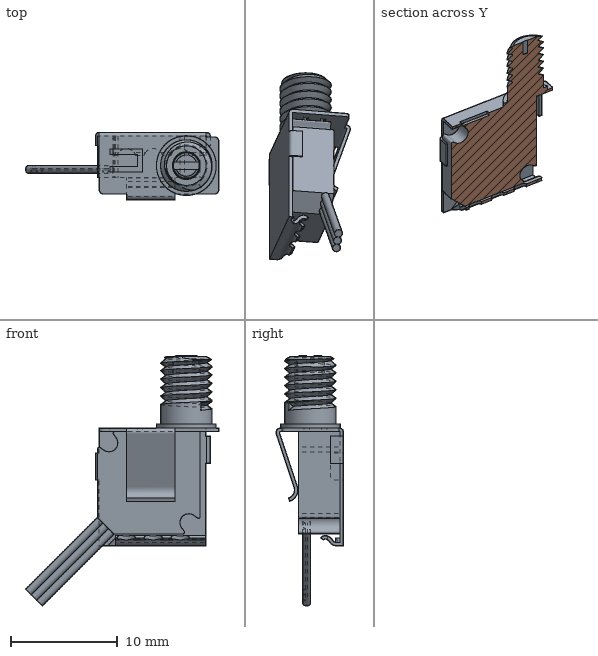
import cadquery as cq
import math


sheet = 0.33
top_bend_radius = 0.36
tab_bend_radius = 0.30
bracket_left = -8.17
back_right = 1.84
plate_right = 3.05
back_y = 3.10
back_inner_y = back_y - sheet
plate_front = -2.68
plate_back = 2.70
plate_corner_radius = 0.45
back_bottom = -11.02

slot_left = -7.16
slot_right = -4.10
slot_back = 1.54
slot_front = -0.58
slot_width = 0.48

tab_front = 1.88
tab_height = 2.55
left_tab_top = -2.32
left_tab_outer = -8.50
right_tab_top = -0.76
right_tab_outer = 2.24

clip_left = -5.60
clip_right = -1.05
clip_front = -3.22
clip_bend_radius = 0.26
clip_lean = math.radians(18.4)
clip_leg_end_z = -5.50
clip_tip = (-2.00, -6.70)

spring_left = -6.62
spring_flat_y = 2.42
spring_wave_middle = (1.96, -10.60)
spring_crest = (1.53, -10.25)
spring_tip = (1.10, -10.38)
spring_shoulder = 0.75
spring_shoulder_front = 2.35
spring_notch_radius = 0.90
spring_notch_y = 0.70
spring_notch_pitch = 2.52
spring_notch_count = 3
spring_first_notch_x = -5.62

body_left = -8.31
body_right = 1.29
body_top = -sheet
body_bottom = -9.91
body_front = -1.13
body_chamfer = 1.52
notch_offset = 1.06
notch_radius = 0.83
notch_half_angle = 98
notch_lip_radius = 0.16

stud_radius = 2.413
stud_top = 6.71
pitch = 25.4 / 32
thread_depth = 0.48
thread_crest = pitch / 8
groove_start_angle = -56
groove_start_z = 2.03
top_chamfer_radial = 0.56
top_chamfer_axial = 0.30
washer_radius = 2.80
washer_height = 0.40

bore_radius = 1.30
bore_depth = 1.50
screw_radius = 1.20
screw_top = 6.79
screw_chamfer = 0.20
screw_slot_width = 0.71
screw_slot_depth = 0.60

wire_radius = 0.375
wire_pitch = 0.735
wire_count = 3
wire_length = 9.50
wire_y = -0.36
wire_embed = 0.50


def block(x0, x1, y0, y1, z0, z1):
    """Box between opposite corner coordinates."""
    return cq.Workplane("XY").box(x1 - x0, y1 - y0, z1 - z0, centered=False).translate((x0, y0, z0))


def bent_strip(path, x0, x1):
    """Sheet strip from x0 to x1 whose mid-line is a YZ path starting along Y."""
    path = path.wire()
    start = path.val().startPoint()
    section = cq.Workplane("XZ", origin=((x0 + x1) / 2, start.y, start.z)).rect(x1 - x0, sheet)
    return section.sweep(path)


def make_top_plate():
    plate = block(bracket_left, plate_right, plate_front, plate_back, -sheet, 0)
    corners = plate.edges("|Z and (>X or (<X and <Y))")
    plate = corners.fillet(plate_corner_radius)
    slot = block(slot_left, slot_right, slot_front, slot_back, -sheet, 0)
    tongue = block(
        slot_left, slot_right - slot_width, slot_front + slot_width, slot_back - slot_width, -sheet, 0
    )
    return plate.cut(slot.cut(tongue))


def make_back_plate():
    back = block(bracket_left, back_right, back_inner_y, back_y, back_bottom, 0)
    flange = block(bracket_left, back_right, plate_back, back_y, -sheet, 0)
    return back.union(flange).edges("|X and >Y and >Z").fillet(top_bend_radius)


def make_tab(edge_x, outer_x, top):
    """Tab wrapped forward from the side edge of the back plate."""
    x0, x1 = sorted((edge_x, outer_x))
    side = "<X" if outer_x < edge_x else ">X"
    inner_x = outer_x + math.copysign(sheet, edge_x - outer_x)
    tab = block(min(inner_x, outer_x), max(inner_x, outer_x), tab_front, back_y, top - tab_height, top)
    bridge = block(x0, x1, back_inner_y, back_y, top - tab_height, top)
    return tab.union(bridge).edges("|Z and >Y and " + side).fillet(tab_bend_radius)


def make_clip():
    bend_start_y = clip_front + sheet / 2 + clip_bend_radius
    bend_end_y = bend_start_y - clip_bend_radius * math.cos(clip_lean)
    bend_end_z = -sheet / 2 - clip_bend_radius * (1 + math.sin(clip_lean))
    leg_end_y = bend_end_y + (bend_end_z - clip_leg_end_z) * math.tan(clip_lean)
    path = (
        cq.Workplane("YZ")
        .moveTo(plate_front + sheet, -sheet / 2)
        .lineTo(bend_start_y, -sheet / 2)
        .tangentArcPoint((bend_end_y, bend_end_z), relative=False)
        .lineTo(leg_end_y, clip_leg_end_z)
        .tangentArcPoint(clip_tip, relative=False)
    )
    return bent_strip(path, clip_left, clip_right)


def make_bottom_spring():
    mid_z = back_bottom + sheet / 2
    path = (
        cq.Workplane("YZ")
        .moveTo(back_y, mid_z)
        .lineTo(spring_flat_y, mid_z)
        .tangentArcPoint(spring_wave_middle, relative=False)
        .tangentArcPoint(spring_crest, relative=False)
        .tangentArcPoint(spring_tip, relative=False)
    )
    spring = bent_strip(path, spring_left, back_right)
    for index in range(spring_notch_count):
        notch_x = spring_first_notch_x + index * spring_notch_pitch
        notch = cq.Workplane("XY", origin=(notch_x, spring_notch_y, back_bottom)).circle(spring_notch_radius)
        spring = spring.cut(notch.extrude(body_bottom - back_bottom))
    return spring.union(make_spring_shoulder())


def make_spring_shoulder():
    """Three-cornered gusset where the left end of the spring runs into the back plate."""
    outer_x = spring_left - spring_shoulder
    side = (
        cq.Workplane("XZ", origin=(0, back_inner_y, 0))
        .moveTo(outer_x, back_bottom)
        .lineTo(spring_left, back_bottom)
        .lineTo(spring_left, back_bottom + spring_shoulder)
        .close()
        .extrude(back_inner_y - spring_shoulder_front)
    )
    plan = (
        cq.Workplane("XY", origin=(0, 0, back_bottom))
        .moveTo(outer_x, back_inner_y)
        .lineTo(spring_left, spring_shoulder_front)
        .lineTo(spring_left, back_inner_y)
        .close()
        .extrude(spring_shoulder)
    )
    return side.intersect(plan)


def make_notch(corner_x, corner_z, outward_angle):
    """Keyhole notch: a round pocket opening out to a corner of the body."""
    out = math.radians(outward_angle)
    center_x = corner_x - math.copysign(notch_offset, math.cos(out))
    center_z = corner_z - math.copysign(notch_offset, math.sin(out))
    mouth = 2 * notch_offset
    points = []
    for turn in (1, -1):
        angle = out + turn * math.radians(notch_half_angle)
        tangent_x = center_x + notch_radius * math.cos(angle)
        tangent_z = center_z + notch_radius * math.sin(angle)
        side_x = tangent_x + mouth * turn * math.sin(angle)
        side_z = tangent_z - mouth * turn * math.cos(angle)
        pair = [(tangent_x, tangent_z), (side_x, side_z)]
        points += pair if turn == 1 else pair[::-1]
    far_corner = (center_x + mouth * 2 * math.cos(out), center_z + mouth * 2 * math.sin(out))
    points.insert(2, far_corner)
    plane = cq.Workplane("XZ", origin=(0, back_inner_y, 0))
    depth = back_inner_y - body_front
    opening = plane.polyline(points).close().extrude(depth)
    pocket = plane.center(center_x, center_z).circle(notch_radius).extrude(depth)
    return pocket.union(opening)


def notch_lips(corner_x, corner_z):
    """Selector for the two sharp lips that a notch leaves next to a body corner."""
    reach = 2 * notch_offset
    low = (corner_x - reach, body_front - 1, corner_z - reach)
    high = (corner_x + reach, back_y, corner_z + reach)
    near_corner = cq.selectors.BoxSelector(low, high)
    on_sides = cq.selectors.BoxSelector(
        (body_left + sheet / 10, body_front - 1, body_bottom + sheet / 10),
        (body_right - sheet / 10, back_y, body_top - sheet / 10),
    )
    return cq.selectors.SubtractSelector(near_corner, on_sides)


def make_body():
    body = block(body_left, body_right, body_front, back_inner_y, body_bottom, body_top)
    body = body.edges("|Y and <X and <Z").chamfer(body_chamfer)
    for corner_x, corner_z, outward in ((body_left, body_top, 135), (body_right, body_bottom, -45)):
        body = body.cut(make_notch(corner_x, corner_z, outward))
        body = body.edges("|Y").edges(notch_lips(corner_x, corner_z)).fillet(notch_lip_radius)
    return body


def make_thread_groove():
    """V groove swept along a right-hand helix, running out past the top of the stud."""
    helix = cq.Wire.makeHelix(pitch, stud_top - groove_start_z + pitch, stud_radius)
    overshoot = thread_crest / 2
    flank_slope = (pitch - thread_crest) / 2 / thread_depth
    half_width = (thread_depth + overshoot) * flank_slope
    groove = (
        cq.Workplane("XZ")
        .moveTo(stud_radius - thread_depth, 0)
        .lineTo(stud_radius + overshoot, half_width)
        .lineTo(stud_radius + overshoot, -half_width)
        .close()
        .sweep(cq.Workplane(obj=helix), isFrenet=True)
    )
    return groove.rotate((0, 0, 0), (0, 0, 1), groove_start_angle).translate((0, 0, groove_start_z))


def make_stud():
    stud = cq.Workplane("XY").circle(stud_radius).extrude(stud_top)
    stud = stud.faces(">Z").edges().chamfer(top_chamfer_axial, top_chamfer_radial)
    stud = stud.cut(make_thread_groove())
    stud = stud.union(cq.Workplane("XY").circle(washer_radius).extrude(washer_height))
    bore_floor = stud_top - bore_depth
    bore = cq.Workplane("XY", origin=(0, 0, bore_floor)).circle(bore_radius).extrude(bore_depth)
    return stud.cut(bore).union(make_screw(bore_floor))


def make_screw(bottom):
    screw = cq.Workplane("XY", origin=(0, 0, bottom)).circle(screw_radius).extrude(screw_top - bottom)
    screw = screw.faces(">Z").edges().chamfer(screw_chamfer / 2, screw_chamfer)
    half_slot = screw_slot_width / 2
    slot = block(
        -screw_radius, screw_radius, -half_slot, half_slot, screw_top - screw_slot_depth, screw_top
    )
    return screw.cut(slot)


def make_wires():
    chamfer_x = body_left + body_chamfer / 2
    chamfer_z = body_bottom + body_chamfer / 2
    diagonal = math.sqrt(0.5)
    exit_plane = cq.Plane(
        origin=(chamfer_x + wire_embed * diagonal, wire_y, chamfer_z + wire_embed * diagonal),
        xDir=(diagonal, 0, -diagonal),
        normal=(-diagonal, 0, -diagonal),
    )
    wires = cq.Workplane("XY")
    for index in range(wire_count):
        offset = (index - (wire_count - 1) / 2) * wire_pitch
        wire = cq.Workplane(exit_plane).center(offset, 0).circle(wire_radius)
        wires = wires.union(wire.extrude(wire_length + wire_embed))
    return wires


result = (
    make_top_plate()
    .union(make_back_plate())
    .union(make_tab(bracket_left, left_tab_outer, left_tab_top))
    .union(make_tab(back_right, right_tab_outer, right_tab_top))
    .union(make_clip())
    .union(make_bottom_spring())
    .union(make_body())
    .union(make_wires())
    .union(make_stud())
)